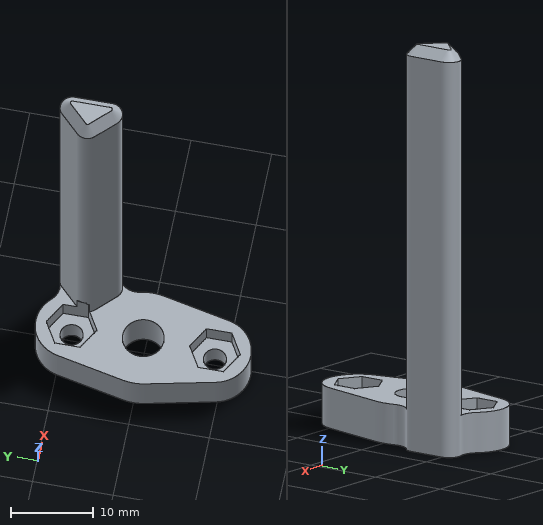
import cadquery as cq
import math

plate_thickness = 5.1
middle_radius = 6.35
end_radius = 4.445
end_offset = 8.9
middle_hole_diameter = 5.1
end_hole_diameter = 2.8

nut_flats = 5.45
nut_pocket_depth = 2.3
nut_clearance_height = 1.6
nut_roof_height = 1.0
nut_roof_taper = 37.0

total_height = 50.8
post_right_face_x = 7.6
post_center_y = 7.6
post_corner_radius = 1.5
post_half_span = 2.35
tip_chamfer = 1.25

blend_radius = 2.55

post_x = post_right_face_x - post_corner_radius
upper_corner = (post_x, post_center_y + post_half_span)
lower_corner = (post_x, post_center_y - post_half_span)
apex = (post_x - post_half_span, post_center_y)
end_centers = [(0, end_offset), (0, -end_offset)]

normal_y = (middle_radius - end_radius) / end_offset
normal_x = math.sqrt(1 - normal_y**2)


def make_plate():
    """Plate outline as alternating tangent lines and arcs."""
    middle_x = middle_radius * normal_x
    middle_y = middle_radius * normal_y
    end_x = end_radius * normal_x
    end_y = end_offset + end_radius * normal_y
    tip_y = end_offset + end_radius
    return (
        cq.Workplane("XY")
        .moveTo(middle_x, middle_y)
        .lineTo(end_x, end_y)
        .threePointArc((0, tip_y), (-end_x, end_y))
        .lineTo(-middle_x, middle_y)
        .threePointArc((-middle_radius, 0), (-middle_x, -middle_y))
        .lineTo(-end_x, -end_y)
        .threePointArc((0, -tip_y), (end_x, -end_y))
        .lineTo(middle_x, -middle_y)
        .threePointArc((middle_radius, 0), (middle_x, middle_y))
        .close()
        .extrude(plate_thickness)
    )


def make_post():
    """Triangle grown outward so that its corners become round."""
    return (
        cq.Workplane("XY")
        .polyline([apex, lower_corner, upper_corner])
        .close()
        .offset2D(post_corner_radius)
        .extrude(total_height)
        .faces(">Z")
        .chamfer(tip_chamfer)
    )


def make_blend(plate_anchor, blend_center, post_corner):
    """Web between plate and post, hollowed by the blend circle."""
    web = (
        cq.Workplane("XY")
        .polyline([plate_anchor, blend_center, post_corner])
        .close()
        .extrude(plate_thickness)
    )
    hollow = cq.Workplane("XY").center(*blend_center).circle(blend_radius).extrude(plate_thickness)
    return web.cut(hollow)


def make_upper_blend():
    """Blend tangent to the upper end circle and the post's upper corner."""
    end_reach = end_radius + blend_radius
    corner_reach = post_corner_radius + blend_radius
    rise = upper_corner[1] - end_offset
    spacing = math.hypot(post_x, rise)
    along = (end_reach**2 - corner_reach**2 + spacing**2) / (2 * spacing)
    across = math.sqrt(end_reach**2 - along**2)
    center = (
        (along * post_x - across * rise) / spacing,
        end_offset + (along * rise + across * post_x) / spacing,
    )
    return make_blend(end_centers[0], center, upper_corner)


def make_lower_blend():
    """Blend tangent to the plate's straight side and the post's lower corner."""
    side_reach = middle_radius + blend_radius
    corner_reach = post_corner_radius + blend_radius
    corner_out = lower_corner[0] * normal_x + lower_corner[1] * normal_y
    corner_along = lower_corner[1] * normal_x - lower_corner[0] * normal_y
    along = corner_along - math.sqrt(corner_reach**2 - (side_reach - corner_out) ** 2)
    anchor = (-along * normal_y, along * normal_x)
    center = (anchor[0] + side_reach * normal_x, anchor[1] + side_reach * normal_y)
    return make_blend(anchor, center, lower_corner)


def make_nut_pocket(center):
    """Hexagonal prism with corners on the Y axis and a tapered roof."""
    nut_corners = nut_flats / math.cos(math.pi / 6)
    hexagon = (
        cq.Workplane("XY")
        .polygon(6, nut_corners)
        .extrude(nut_pocket_depth + nut_clearance_height)
        .faces(">Z")
        .workplane()
        .polygon(6, nut_corners)
        .extrude(nut_roof_height, taper=nut_roof_taper)
        .rotate((0, 0, 0), (0, 0, 1), 90)
    )
    return hexagon.translate((*center, plate_thickness - nut_pocket_depth))


result = make_plate().union(make_post()).union(make_upper_blend()).union(make_lower_blend())
result = result.cut(cq.Workplane("XY").circle(middle_hole_diameter / 2).extrude(plate_thickness))
for end_center in end_centers:
    end_hole = cq.Workplane("XY").center(*end_center).circle(end_hole_diameter / 2)
    result = result.cut(end_hole.extrude(plate_thickness))
    result = result.cut(make_nut_pocket(end_center))